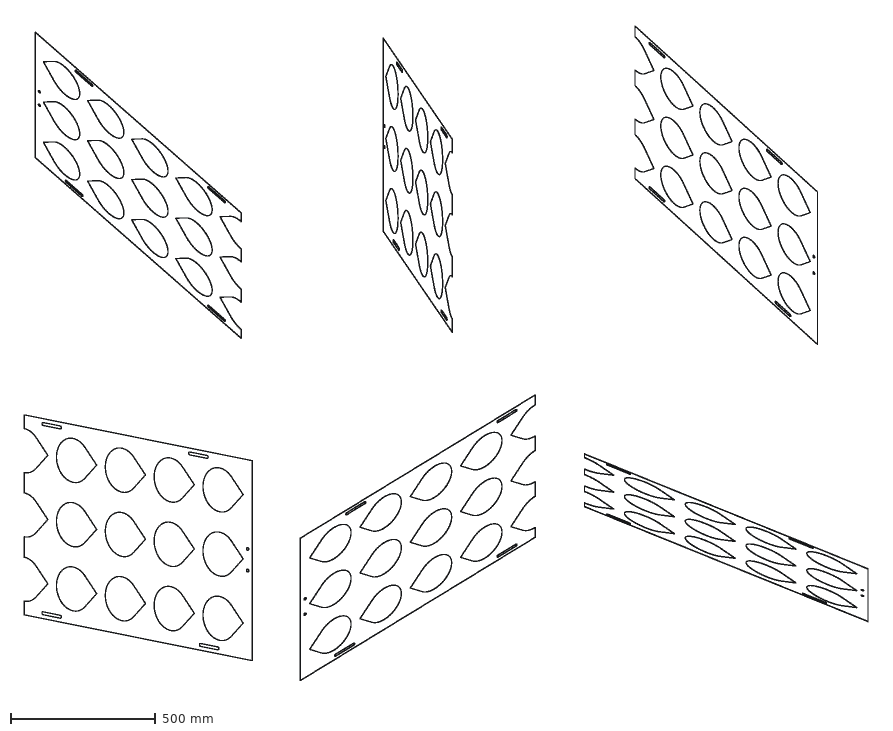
import cadquery as cq
import math

length = 1067.0
height = 712.0
thickness = 1.5
left_edge = -length / 2
right_edge = length / 2

drop_radius = 78.0
drop_columns = 5
drop_rows = 3
first_drop_inset = 153.0
drop_pitch = (length - first_drop_inset) / (drop_columns - 1)
tip_reach = drop_radius * math.sqrt(2)
tangent_offset = drop_radius / math.sqrt(2)

slot_length = 91.0
slot_width = 10.0
slot_inset = 19.0
top_left_slot_inset = 252.0
bottom_left_slot_inset = 202.0
right_slot_inset = 128.0

hole_diameter = 10.0
hole_inset = 21.0
hole_spacing = 77.0


def back_face():
    """Workplane on the +Y face of the sheet, facing -Y."""
    return cq.Workplane("XZ", origin=(0, thickness / 2, 0))


def teardrop(x, z):
    """Teardrop prism whose circle is centred at (x, z)."""
    return (
        back_face()
        .moveTo(x - tip_reach, z)
        .lineTo(x - tangent_offset, z + tangent_offset)
        .threePointArc((x + drop_radius, z), (x - tangent_offset, z - tangent_offset))
        .close()
        .extrude(thickness)
    )


def edge_slots():
    """Two slots along the top edge and two along the bottom edge."""
    slot_z = height / 2 - slot_inset
    centers = [
        (left_edge + top_left_slot_inset, slot_z),
        (right_edge - right_slot_inset, slot_z),
        (left_edge + bottom_left_slot_inset, -slot_z),
        (right_edge - right_slot_inset, -slot_z),
    ]
    return back_face().pushPoints(centers).slot2D(slot_length, slot_width).extrude(thickness)


def left_holes():
    """Two holes one above the other, symmetric about mid-height."""
    hole_x = left_edge + hole_inset
    centers = [(hole_x, hole_spacing / 2), (hole_x, -hole_spacing / 2)]
    return back_face().pushPoints(centers).circle(hole_diameter / 2).extrude(thickness)


sheet = back_face().rect(length, height).extrude(thickness)

for column in range(drop_columns):
    for row in range(drop_rows):
        drop_x = left_edge + first_drop_inset + column * drop_pitch
        drop_z = (row - (drop_rows - 1) / 2) * drop_pitch
        sheet = sheet.cut(teardrop(drop_x, drop_z))

result = sheet.cut(edge_slots()).cut(left_holes())